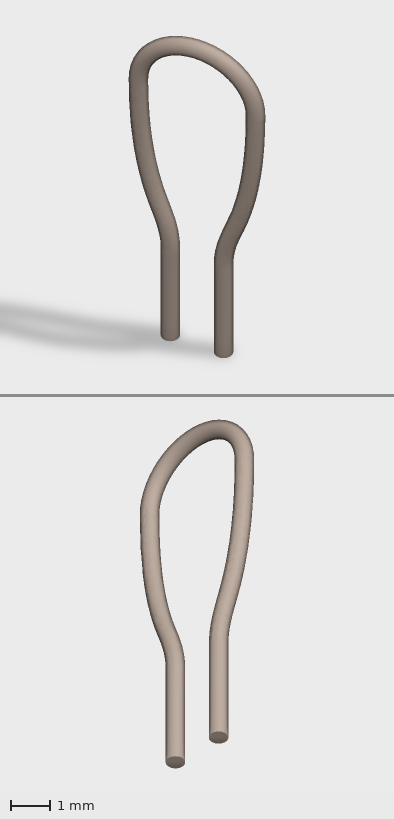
import cadquery as cq

wire_diameter = 0.5
overall_width = 3.8
overall_height = 10.45
leg_length = 3.0
leg_spacing = 1.5

wire_radius = wire_diameter / 2
bow_radius = overall_width / 2 - wire_radius
leg_x = leg_spacing / 2
leg_top_z = leg_length
bow_center_z = overall_height - overall_width / 2

neck_bend_x = 1.125
neck_bend_z = 4.6


def wire_path():
    """Centreline in the XZ plane, from the foot of the left leg to the foot of the right leg."""
    return (
        cq.Workplane("XZ")
        .moveTo(-leg_x, 0)
        .lineTo(-leg_x, leg_top_z)
        .spline(
            [(-neck_bend_x, neck_bend_z), (-bow_radius, bow_center_z)],
            tangents=[(0, 1), (0, 1)],
            includeCurrent=True,
        )
        .threePointArc((0, bow_center_z + bow_radius), (bow_radius, bow_center_z))
        .spline(
            [(neck_bend_x, neck_bend_z), (leg_x, leg_top_z)],
            tangents=[(0, -1), (0, -1)],
            includeCurrent=True,
        )
        .lineTo(leg_x, 0)
    )


wire_section = cq.Workplane("XY").center(-leg_x, 0).circle(wire_radius)
result = wire_section.sweep(wire_path())